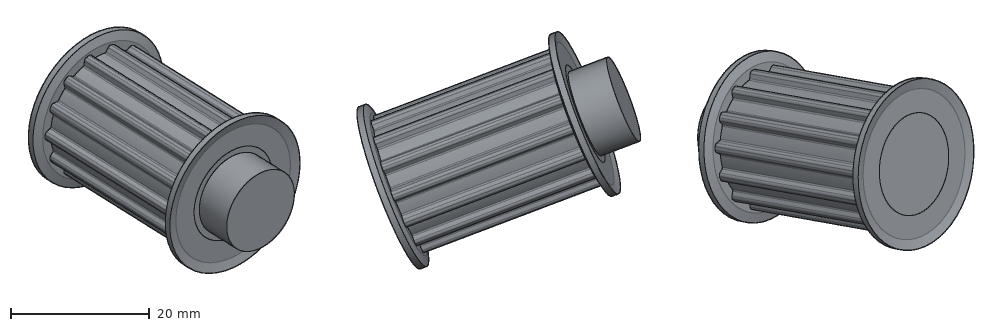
import cadquery as cq
import math

overall_length = 36.4
flanged_length = 30.83

flange_diameter = 25.0
flange_bend_diameter = 22.0
flange_thickness = 1.02
rim_projection = 0.4

seat_diameter = 15.0
hub_diameter = 13.0

tooth_count = 14
tip_radius = 10.52
root_radius = 9.45
groove_floor_half_width = 1.1
groove_flank_angle = math.radians(35)
root_fillet = 0.273
tip_fillet = 0.5

pitch_angle = 2 * math.pi / tooth_count
seat_start = rim_projection
drum_start = rim_projection + flange_thickness
drum_end = flanged_length - drum_start
seat_end = flanged_length - rim_projection


def polar_point(radius, angle):
    """Point in the YZ section, with the angle measured from +Z towards +Y."""
    return (radius * math.sin(angle), radius * math.cos(angle))


def groove_corner_angles():
    """Half angles that a groove spans at its floor and at its mouth."""
    floor_half_angle = math.asin(groove_floor_half_width / root_radius)
    along_flank = root_radius * math.cos(groove_flank_angle - floor_half_angle)
    flank_length = math.sqrt(along_flank**2 + tip_radius**2 - root_radius**2) - along_flank
    mouth_half_width = groove_floor_half_width + flank_length * math.sin(groove_flank_angle)
    return floor_half_angle, math.asin(mouth_half_width / tip_radius)


def make_drum():
    """Toothed drum: one groove is centred on +Z."""
    floor_half_angle, mouth_half_angle = groove_corner_angles()
    outline = cq.Workplane("YZ", origin=(drum_start, 0, 0))
    outline = outline.moveTo(*polar_point(root_radius, -floor_half_angle))
    for index in range(tooth_count):
        groove_angle = index * pitch_angle
        tooth_angle = groove_angle + pitch_angle / 2
        next_groove_angle = groove_angle + pitch_angle
        outline = (
            outline
            .threePointArc(
                polar_point(root_radius, groove_angle),
                polar_point(root_radius, groove_angle + floor_half_angle),
            )
            .lineTo(*polar_point(tip_radius, groove_angle + mouth_half_angle))
            .threePointArc(
                polar_point(tip_radius, tooth_angle),
                polar_point(tip_radius, next_groove_angle - mouth_half_angle),
            )
        )
        if index < tooth_count - 1:
            outline = outline.lineTo(*polar_point(root_radius, next_groove_angle - floor_half_angle))
    drum = outline.close().extrude(drum_end - drum_start)

    middle_radius = (root_radius + tip_radius) / 2

    def distance_from_axis(edge):
        center = edge.Center()
        return math.hypot(center.y, center.z)

    drum = drum.edges("|X").filter(lambda edge: distance_from_axis(edge) > middle_radius).fillet(tip_fillet)
    floor_limit = root_radius + root_fillet / 2
    return drum.edges("|X").filter(lambda edge: distance_from_axis(edge) < floor_limit).fillet(root_fillet)


def make_cylinder(diameter, start, end):
    return cq.Workplane("YZ", origin=(start, 0, 0)).circle(diameter / 2).extrude(end - start)


def make_core():
    return (
        make_drum()
        .union(make_cylinder(seat_diameter, seat_start, drum_start))
        .union(make_cylinder(seat_diameter, drum_end, seat_end))
        .union(make_cylinder(hub_diameter, seat_end, overall_length))
    )


def make_flange(rim_edge, inward):
    """Dished ring; rim_edge is its outermost X and inward (+1 or -1) points to the drum."""
    bore_radius = seat_diameter / 2
    bend_radius = flange_bend_diameter / 2
    rim_radius = flange_diameter / 2
    rim_inner = rim_edge + inward * flange_thickness
    ring_outer = rim_edge + inward * rim_projection
    ring_inner = ring_outer + inward * flange_thickness
    return (
        cq.Workplane("XY")
        .polyline([
            (ring_outer, bore_radius),
            (ring_outer, bend_radius),
            (rim_edge, rim_radius),
            (rim_inner, rim_radius),
            (ring_inner, bend_radius),
            (ring_inner, bore_radius),
        ])
        .close()
        .revolve(360, (0, 0, 0), (1, 0, 0))
    )


core = make_core()
flanges = [
    make_flange(rim_edge, inward).val()
    for rim_edge, inward in ((0.0, 1), (flanged_length, -1))
]

result = cq.Compound.makeCompound([core.val(), *flanges])